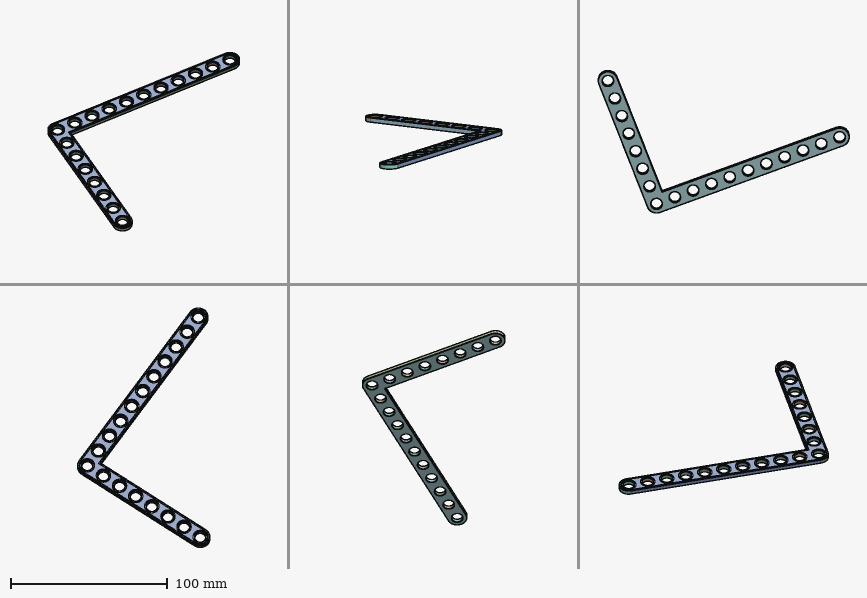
import cadquery as cq

pitch = 12.5
thickness = pitch / 4
holes_x = 8
holes_y = 11
hole_diameter = 7.0
rim_diameter = 9.2
rim_width = (rim_diameter - hole_diameter) / 2
edge_chamfer = 0.3
recess_depth = 0.2

span_x = (holes_x - 1) * pitch
span_y = (holes_y - 1) * pitch
hole_centres = [(i * pitch, 0) for i in range(holes_x)]
hole_centres += [(0, j * pitch) for j in range(1, holes_y)]


def l_prism(width, base_z, height):
    """L-shaped prism with round ends and a round outer corner."""
    plane = cq.Workplane("XY", origin=(0, 0, base_z))
    arm_x = plane.center(span_x / 2, 0).slot2D(span_x + width, width).extrude(height)
    arm_y = plane.center(0, span_y / 2).slot2D(span_y + width, width, 90).extrude(height)
    return arm_x.union(arm_y).clean()


def discs(diameter, base_z, height):
    """A round disc of the given diameter at every hole centre."""
    plane = cq.Workplane("XY", origin=(0, 0, base_z))
    return plane.pushPoints(hole_centres).circle(diameter / 2).extrude(height)


def recess():
    """Shallow panel inside the outer rim, leaving a ring around each hole."""
    floor_z = thickness - recess_depth
    panel = l_prism(pitch - 2 * rim_width, floor_z, recess_depth)
    return panel.cut(discs(rim_diameter, floor_z, recess_depth))


plate = l_prism(pitch, 0, thickness).cut(discs(hole_diameter, 0, thickness))
plate = plate.faces("<Z or >Z").chamfer(edge_chamfer)
result = plate.cut(recess())